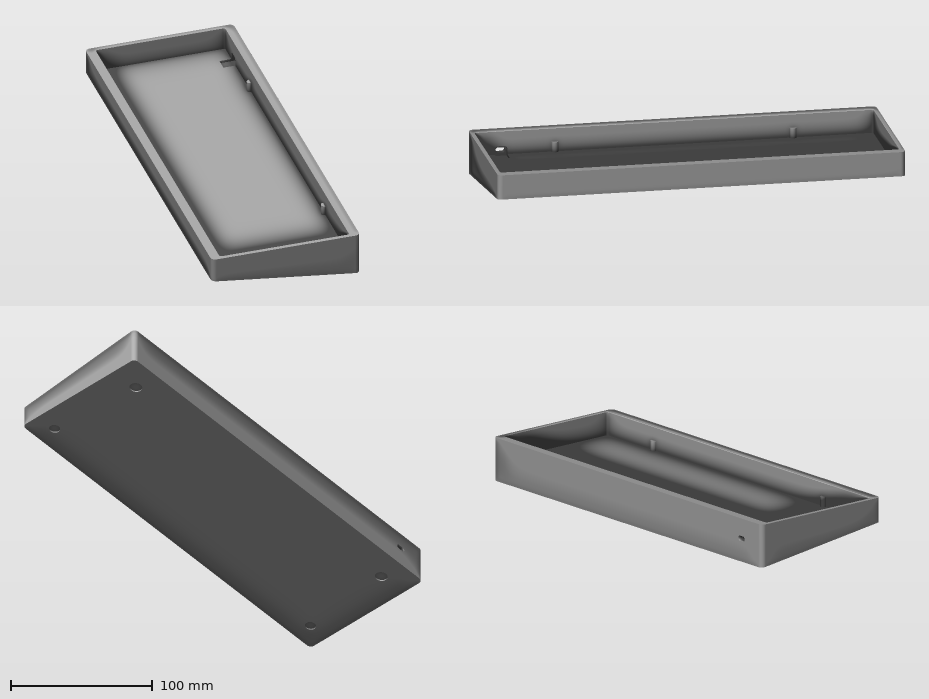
import cadquery as cq

length = 293.7
width = 110.0
front_height = 18.0
back_height = 31.7
outer_corner_radius = 3.5
slope = (back_height - front_height) / width

end_wall = 3.2
long_wall = 7.0
tray_depth = 17.3
tray_corner_radius = 1.5
rim_chamfer = 0.3
tray_length = length - 2 * end_wall
tray_width = width - 2 * long_wall

post_diameter = 5.0
post_height = 7.3
back_post_x = 85.8
front_post_x = 92.8

plug_x = -124.5
plug_width = 9.0
plug_corner_radius = 2.3
plug_rise = 6.2
pocket_depth = 1.8
pocket_reach = 8.8
recess_into_wall = 2.5
port_width = 7.0
port_height = 3.8
port_floor_offset = 0.5

front_foot_diameter = 8.0
back_foot_diameter = 9.0
foot_depth = 1.0
front_foot_x = 130.5
back_foot_x = 125.0
front_foot_inset = 16.0
back_foot_inset = 90.5


def make_wedge():
    half = width / 2
    return (
        cq.Workplane("YZ")
        .polyline([(-half, 0), (half, 0), (half, -back_height), (-half, -front_height)])
        .close()
        .extrude(length / 2, both=True)
        .edges("|Z")
        .fillet(outer_corner_radius)
    )


def make_tray():
    return (
        cq.Workplane("XY")
        .rect(tray_length, tray_width)
        .extrude(-tray_depth)
        .edges("|Z")
        .fillet(tray_corner_radius)
    )


def bevel_rim(body):
    tray_mouth = cq.selectors.BoxSelector(
        (-tray_length / 2 - rim_chamfer, -tray_width / 2 - rim_chamfer, -rim_chamfer),
        (tray_length / 2 + rim_chamfer, tray_width / 2 + rim_chamfer, rim_chamfer),
    )
    return body.edges(tray_mouth).chamfer(rim_chamfer)


def make_posts():
    wall_y = tray_width / 2
    centres = []
    for side in (-1, 1):
        centres.append((side * back_post_x, wall_y))
        centres.append((side * front_post_x, -wall_y))
    return (
        cq.Workplane("XY", origin=(0, 0, -tray_depth))
        .pushPoints(centres)
        .circle(post_diameter / 2)
        .extrude(post_height)
    )


def make_plug_recess():
    recess_back = tray_width / 2 + recess_into_wall
    return (
        cq.Workplane("XZ", origin=(plug_x, recess_back, -tray_depth - pocket_depth))
        .rect(plug_width, plug_rise + pocket_depth, centered=(True, False))
        .extrude(recess_into_wall + pocket_reach)
        .edges("|Y and >Z")
        .fillet(plug_corner_radius)
    )


def make_port():
    centre_z = -tray_depth + port_floor_offset + port_height / 2
    return (
        cq.Workplane("XZ", origin=(plug_x, width / 2, centre_z))
        .slot2D(port_width, port_height)
        .extrude(long_wall)
    )


def make_foot(x, inset, diameter):
    centre = (x, inset - width / 2, -front_height - slope * inset)
    inward = (0, slope, 1)
    base = cq.Plane(origin=centre, xDir=(1, 0, 0), normal=inward)
    return cq.Workplane(base).circle(diameter / 2).extrude(foot_depth)


result = bevel_rim(make_wedge().cut(make_tray())).union(make_posts()).cut(make_plug_recess()).cut(make_port())
for side in (-1, 1):
    result = result.cut(make_foot(side * front_foot_x, front_foot_inset, front_foot_diameter))
    result = result.cut(make_foot(side * back_foot_x, back_foot_inset, back_foot_diameter))